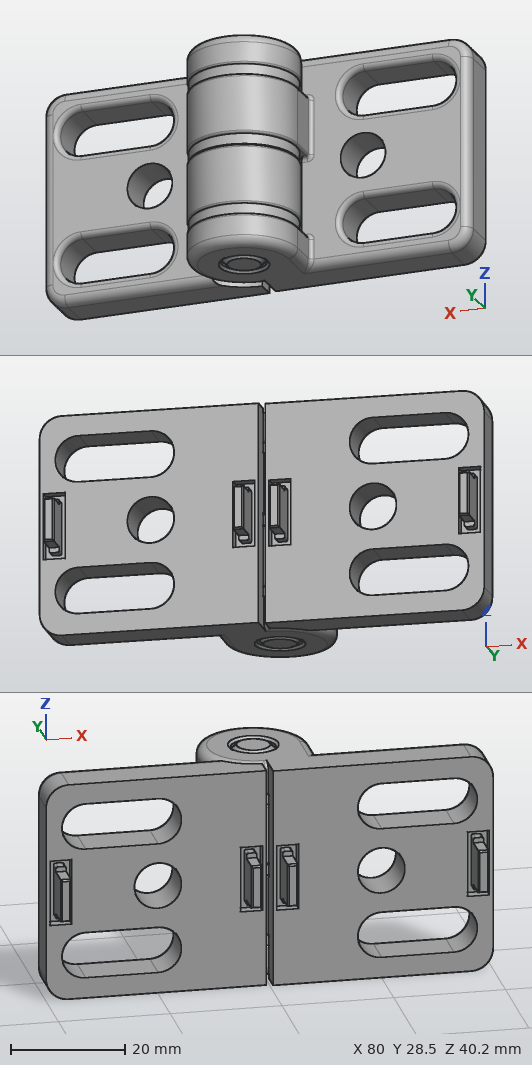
import cadquery as cq
import math


hinge_width = 80.0
leaf_gap = 1.2
leaf_height = 40.0
leaf_thickness = 8.0
leaf_corner_radius = 4.0
leaf_outer_x = -hinge_width / 2
leaf_inner_x = -leaf_gap / 2
leaf_width = leaf_inner_x - leaf_outer_x
leaf_bottom_z = -leaf_height / 2

axis_height = 14.0
knuckle_radius = 10.0
knuckle_bottom_y = axis_height - knuckle_radius
relief_radius = 10.4
end_rounding = 1.8
knuckle_edge_rounding = 0.4
root_fillet = 0.8

leaf_shift = 0.1

washer_thickness = 1.9
washer_radius = 9.8
washer_space = washer_thickness + 2 * leaf_shift
outer_washer_z = 13.1

inner_knuckle = (washer_space / 2, outer_washer_z - washer_space / 2)
end_knuckle = (leaf_bottom_z, -outer_washer_z - washer_space / 2)

pin_radius = 4.0
pin_length = leaf_height - 2 * leaf_shift
pin_end_chamfer = 1.0
pin_hole_chamfer = 0.5

hole_diameter = 8.4
hole_x = -20.0
slot_travel = 13.0
slot_z = 12.0
slot_rim_rounding = 1.0

tab_inset = 2.6
tab_thickness = 1.8
tab_length = 7.8
tab_projection = 4.5
tab_tip_height = 0.5
tab_tip_angle = 27.0
pad_length = 9.7
pad_corner_radius = 0.4
pocket_width = 3.9
pocket_length = 12.0
pocket_depth = 2.0
tab_places = [(leaf_outer_x + tab_inset, 0), (leaf_inner_x - tab_inset, 0)]

margin = 0.1


def edges_in_box(low, high):
    """Selector for the edges whose centres lie between two corner points, with the margin."""
    return cq.selectors.BoxSelector([v - margin for v in low], [v + margin for v in high])


def axis_cylinder(radius, z_low, z_high):
    """Cylinder around the hinge axis."""
    return cq.Workplane("XY", origin=(0, axis_height, z_low)).circle(radius).extrude(z_high - z_low)


def leaf_plate():
    """Plate with two round outer corners, rounded along every rim of its +Y face but the inner one."""
    plate = cq.Workplane("XY").box(leaf_width, leaf_thickness, leaf_height, centered=(False, False, True))
    plate = plate.translate((leaf_outer_x, 0, 0))
    plate = plate.edges("|Y and <X").fillet(leaf_corner_radius)
    inner_rim = (leaf_inner_x, leaf_thickness, 0)
    rounded_rim = cq.StringSyntaxSelector(">Y") - edges_in_box(inner_rim, inner_rim)
    return plate.edges(rounded_rim).fillet(end_rounding)


def knuckle(z_range, low_rounding, high_rounding):
    """Round barrel with a flat flank that runs down into the plate."""
    z_low, z_high = z_range
    diagonal = knuckle_radius * math.sqrt(0.5)
    barrel = (
        cq.Workplane("XY", origin=(0, 0, z_low))
        .moveTo(-knuckle_radius, 0)
        .lineTo(-knuckle_radius, axis_height)
        .threePointArc((0, axis_height + knuckle_radius), (knuckle_radius, axis_height))
        .threePointArc((diagonal, axis_height - diagonal), (0, knuckle_bottom_y))
        .lineTo(leaf_inner_x, knuckle_bottom_y)
        .lineTo(leaf_inner_x, 0)
        .close()
        .extrude(z_high - z_low)
    )
    inner_side = edges_in_box((leaf_inner_x, 0, z_low), (leaf_inner_x, knuckle_bottom_y - 2 * margin, z_high))
    rounded_rim = cq.StringSyntaxSelector("not <Y") - inner_side
    barrel = barrel.faces("<Z").edges(rounded_rim).fillet(low_rounding)
    return barrel.faces(">Z").edges(rounded_rim).fillet(high_rounding)


def knuckle_roots():
    """Selector for the concave edges where the knuckle flanks meet the plate."""
    flank = edges_in_box(
        (-knuckle_radius, leaf_thickness, leaf_bottom_z),
        (-knuckle_radius, leaf_thickness, -leaf_bottom_z),
    )
    mitre = edges_in_box(
        (-knuckle_radius, leaf_thickness - end_rounding, leaf_bottom_z),
        (-knuckle_radius + end_rounding, leaf_thickness, leaf_bottom_z + end_rounding),
    )
    return flank + mitre


def pin_hole():
    """Through hole for the pin, chamfered where it opens at the end of the hinge."""
    hole = axis_cylinder(pin_radius, leaf_bottom_z, -leaf_bottom_z)
    mouth = cq.Solid.makeCone(
        pin_radius + pin_hole_chamfer,
        pin_radius,
        pin_hole_chamfer,
        pnt=cq.Vector(0, axis_height, leaf_bottom_z),
    )
    return hole.union(cq.Workplane(mouth))


def mounting_hole():
    return cq.Workplane("XZ").center(hole_x, 0).circle(hole_diameter / 2).extrude(-leaf_thickness)


def slot(center_z):
    middle = cq.Workplane("XZ").center(hole_x - slot_travel / 2, center_z)
    return middle.slot2D(slot_travel + hole_diameter, hole_diameter).extrude(-leaf_thickness)


def slot_rim(center_z):
    """Selector for the edges of a slot on the +Y face of the plate."""
    radius = hole_diameter / 2
    return edges_in_box(
        (hole_x - slot_travel - radius, leaf_thickness, center_z - radius),
        (hole_x + radius, leaf_thickness, center_z + radius),
    )


def pockets():
    return cq.Workplane("XZ").pushPoints(tab_places).rect(pocket_width, pocket_length).extrude(-pocket_depth)


def tabs():
    """Pads level with the plate, carrying tabs with tapered tips."""
    pocket_floor = cq.Workplane("XZ", origin=(0, pocket_depth, 0)).pushPoints(tab_places)
    pads = pocket_floor.rect(tab_thickness, pad_length).extrude(pocket_depth)
    pads = pads.edges("|Y").fillet(pad_corner_radius)

    straight_length = tab_projection - tab_tip_height
    blade_foot = cq.Workplane("XZ").pushPoints(tab_places)
    blades = blade_foot.rect(tab_thickness, tab_length).extrude(straight_length)

    tip_foot = cq.Workplane("XZ", origin=(0, -straight_length, 0)).pushPoints(tab_places)
    tips = tip_foot.rect(tab_thickness, tab_length).extrude(tab_tip_height, taper=tab_tip_angle)
    return pads.union(blades).union(tips)


def hinge_leaf():
    """Left leaf, centred on Z = 0."""
    leaf = leaf_plate().cut(axis_cylinder(relief_radius, leaf_bottom_z, -leaf_bottom_z))
    leaf = leaf.union(knuckle(inner_knuckle, knuckle_edge_rounding, knuckle_edge_rounding))
    leaf = leaf.union(knuckle(end_knuckle, end_rounding, knuckle_edge_rounding))
    leaf = leaf.edges(knuckle_roots()).fillet(root_fillet)
    leaf = leaf.cut(pin_hole())
    leaf = leaf.cut(mounting_hole())
    for center_z in (-slot_z, slot_z):
        leaf = leaf.cut(slot(center_z))
        leaf = leaf.edges(slot_rim(center_z)).fillet(slot_rim_rounding)
    return leaf.cut(pockets()).union(tabs())


def hinge_pin():
    shaft = axis_cylinder(pin_radius, -pin_length / 2, pin_length / 2)
    return shaft.faces("<Z or >Z").chamfer(pin_end_chamfer)


def washer(center_z):
    z_low = center_z - washer_thickness / 2
    z_high = center_z + washer_thickness / 2
    return axis_cylinder(washer_radius, z_low, z_high).cut(axis_cylinder(pin_radius, z_low, z_high))


left_leaf = hinge_leaf().translate((0, 0, leaf_shift))
right_leaf = left_leaf.mirror("YZ").mirror("XY")
pin = hinge_pin()
washers = [washer(center_z).val() for center_z in (-outer_washer_z, 0, outer_washer_z)]

result = cq.Compound.makeCompound([left_leaf.val(), right_leaf.val(), pin.val(), *washers])